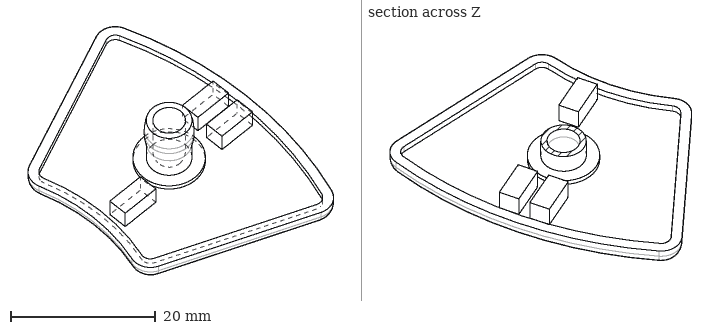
import cadquery as cq
import math

outer_radius = 60.0
inner_radius = outer_radius / 2
sector_center_y = -(outer_radius + inner_radius) / 2
half_angle = math.radians(22.5)
corner_radius = 2.85
plate_height = 3.0
bottom_fillet = 2.0

rim_width = 1.5
pocket_depth = 1.0
floor_z = plate_height - pocket_depth

total_height = 11.0
flange_diameter = 10.0
flange_height = 0.7
stem_radius = 6.3 / 2
head_radius = 6.9 / 2
head_band_height = 1.05
head_curve_height = 2.0
bore_radius = 4.5 / 2
bore_tip_radius = 0.2
bore_bottom_z = floor_z

block_width = 3.0
block_length = 6.0
block_top_z = 5.0
block_x = 2.35
block_y = 9.5
block_positions = [(-block_x, block_y), (block_x, block_y), (block_x, -block_y)]


def sector_point(radius, angle, side_offset):
    """Point on an arc, moved inward from the radial side line by side_offset."""
    turn = angle - math.copysign(math.asin(side_offset / radius), angle)
    return (radius * math.sin(turn), sector_center_y + radius * math.cos(turn))


def sector_prism(inset, bottom_z, height):
    """Rounded annular sector, inset evenly from the plate outline."""
    outer = outer_radius - inset
    inner = inner_radius + inset
    return (
        cq.Workplane("XY")
        .workplane(offset=bottom_z)
        .moveTo(*sector_point(outer, -half_angle, inset))
        .threePointArc((0, sector_center_y + outer), sector_point(outer, half_angle, inset))
        .lineTo(*sector_point(inner, half_angle, inset))
        .threePointArc((0, sector_center_y + inner), sector_point(inner, -half_angle, inset))
        .close()
        .extrude(height)
        .edges("|Z")
        .fillet(corner_radius - inset)
    )


def make_tray():
    plate = sector_prism(0, 0, plate_height).faces("<Z").edges().fillet(bottom_fillet)
    return plate.cut(sector_prism(rim_width, floor_z, pocket_depth))


def make_stem():
    """Revolved stem: its head curves out to a straight band and back in."""
    band_top = total_height - head_curve_height
    band_bottom = band_top - head_band_height
    head_bottom = band_bottom - head_curve_height
    bulge = head_radius - stem_radius
    curve_radius = (head_curve_height**2 + bulge**2) / (2 * bulge)
    middle_rise = head_curve_height / 2
    middle_radius = head_radius - curve_radius + math.sqrt(curve_radius**2 - middle_rise**2)
    lower_middle = (middle_radius, band_bottom - middle_rise)
    upper_middle = (middle_radius, band_top + middle_rise)
    return (
        cq.Workplane("XZ")
        .moveTo(0, floor_z)
        .lineTo(stem_radius, floor_z)
        .lineTo(stem_radius, head_bottom)
        .threePointArc(lower_middle, (head_radius, band_bottom))
        .lineTo(head_radius, band_top)
        .threePointArc(upper_middle, (stem_radius, total_height))
        .lineTo(0, total_height)
        .close()
        .revolve(360, (0, 0, 0), (0, 1, 0))
    )


def make_flange():
    return cq.Workplane("XY").workplane(offset=floor_z).circle(flange_diameter / 2).extrude(flange_height)


def make_bore():
    """Blind bore with a rounded bottom and a tiny flat at its tip."""
    return (
        cq.Workplane("XY")
        .workplane(offset=bore_bottom_z)
        .circle(bore_radius)
        .extrude(total_height - bore_bottom_z)
        .faces("<Z")
        .edges()
        .fillet(bore_radius - bore_tip_radius)
    )


def make_blocks():
    return (
        cq.Workplane("XY")
        .workplane(offset=floor_z)
        .pushPoints(block_positions)
        .rect(block_width, block_length)
        .extrude(block_top_z - floor_z)
    )


result = make_tray().union(make_flange()).union(make_stem()).union(make_blocks()).cut(make_bore())